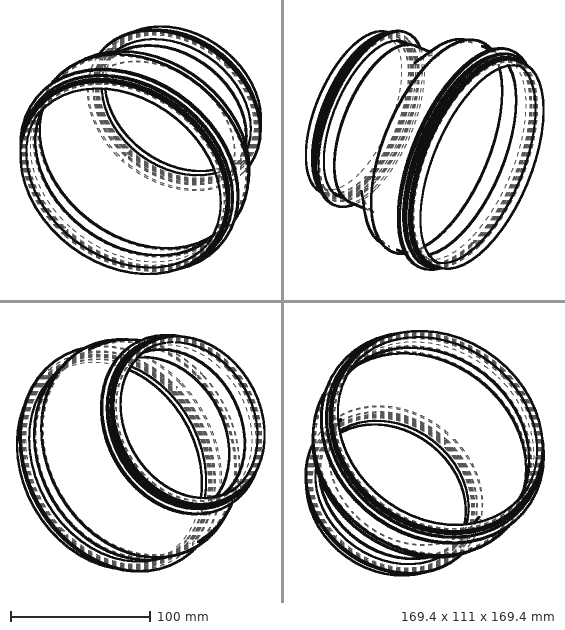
import cadquery as cq
import math


length = 111.0
wall = 0.5

large_body_radius = 159.0 / 2
large_groove_radius = 154.2 / 2
small_body_radius = 122.3 / 2
small_groove_radius = 119.3 / 2

large_shoulder_start = 21.7
large_shoulder_end = 24.7
small_shoulder_start = 22.7
small_shoulder_end = 24.9

bead_center = 39.0
bead_half_width = 3.5
bead_radius = 164.3 / 2

cone_large_y = 48.1
cone_small_y = 63.7
large_bend_radius = 1.5
small_bend_radius = 3.4
cone_angle = math.atan2(large_body_radius - small_body_radius, cone_small_y - cone_large_y)

rim_length = 6.0
rim_round = 1.2
large_rim_radius = large_body_radius
small_rim_radius = 125.0 / 2

lip_start = 7.0
lip_end = 7.8
fin_root_start = 8.6
fin_tip_start = 9.0
fin_end = 10.5
collar_start = 12.2
flange_start = 12.9
flange_end = 14.7
lip_height = 1.5
collar_height = 1.5

large_sleeve_radius = 158.0 / 2
large_seal_bore_radius = 155.3 / 2
large_fin_radius = 164.3 / 2
large_flange_radius = 169.4 / 2
small_sleeve_radius = 124.0 / 2
small_seal_bore_radius = 120.5 / 2
small_fin_radius = 129.5 / 2
small_flange_radius = 134.5 / 2


def revolve_about_y(outline):
    """Turn a closed outline (X = radius, Y = axial place) once around the Y axis."""
    return outline.close().revolve(360, (0, 0, 0), (0, 1, 0))


def add_bead(path, base_radius, depth):
    """Add a rounded bead of three tangent arcs from its lower foot to its upper foot, offset inward."""
    height = bead_radius - base_radius
    arc_radius = (height**2 + bead_half_width**2) / (4 * height)
    turn = math.asin(bead_half_width / (2 * arc_radius))
    foot_radius = arc_radius + depth
    crest_radius = arc_radius - depth

    def foot_point(angle, side):
        return (base_radius + arc_radius - foot_radius * math.cos(angle),
                bead_center + side * (bead_half_width - foot_radius * math.sin(angle)))

    return (path.lineTo(*foot_point(0, -1))
            .threePointArc(foot_point(turn / 2, -1), foot_point(turn, -1))
            .threePointArc((bead_radius - arc_radius + crest_radius, bead_center), foot_point(turn, 1))
            .threePointArc(foot_point(turn / 2, 1), foot_point(0, 1)))


def add_step(path, start, end, depth):
    """From the current point add an S-shaped step of two equal tangent arcs, offset inward.

    start and end are (radius, y) places on the outer surface.
    """
    (start_radius, start_y), (end_radius, end_y) = start, end
    rise = end_radius - start_radius
    run = end_y - start_y
    arc_radius = (rise**2 + run**2) / (4 * abs(rise))
    turn = math.asin(run / (2 * arc_radius))
    outward = math.copysign(1, rise)
    first_radius = arc_radius + outward * depth
    last_radius = arc_radius - outward * depth

    def first_arc_point(angle):
        return (start_radius + outward * (arc_radius - first_radius * math.cos(angle)),
                start_y + first_radius * math.sin(angle))

    def last_arc_point(angle):
        return (end_radius - outward * (arc_radius - last_radius * math.cos(angle)),
                end_y - last_radius * math.sin(angle))

    return (path.threePointArc(first_arc_point(turn / 2), first_arc_point(turn))
            .threePointArc(last_arc_point(turn / 2), last_arc_point(0)))


def add_bend(path, center, radius, start_angle, end_angle):
    """Add a line to an arc and then the arc; angles are from the radial direction toward +Y."""
    def arc_point(angle):
        return (center[0] + radius * math.cos(angle), center[1] + radius * math.sin(angle))

    return (path.lineTo(*arc_point(start_angle))
            .threePointArc(arc_point((start_angle + end_angle) / 2), arc_point(end_angle)))


def solid_to_skin(depth):
    """Solid bounded by the shell's outer surface offset inward by depth."""
    half_turn_tangent = math.tan(cone_angle / 2)
    large_bend_center = (large_body_radius - large_bend_radius,
                         cone_large_y - large_bend_radius * half_turn_tangent)
    small_bend_center = (small_body_radius + small_bend_radius,
                         cone_small_y + small_bend_radius * half_turn_tangent)

    path = cq.Workplane("XY").lineTo(large_groove_radius - depth, 0)
    path = path.lineTo(large_groove_radius - depth, large_shoulder_start)
    path = add_step(path, (large_groove_radius, large_shoulder_start),
                    (large_body_radius, large_shoulder_end), depth)
    path = add_bead(path, large_body_radius, depth)
    path = add_bend(path, large_bend_center, large_bend_radius - depth, 0, cone_angle)
    path = add_bend(path, small_bend_center, small_bend_radius + depth,
                    math.pi + cone_angle, math.pi)
    path = path.lineTo(small_body_radius - depth, length - small_shoulder_end)
    path = add_step(path, (small_body_radius, length - small_shoulder_end),
                    (small_groove_radius, length - small_shoulder_start), depth)
    path = path.lineTo(small_groove_radius - depth, length).lineTo(0, length)
    return revolve_about_y(path)


def make_rim(groove_radius, rim_radius, start_y):
    """Ring that thickens the sheet at an opening."""
    return (cq.Workplane("XZ", origin=(0, start_y + rim_length, 0))
            .circle(rim_radius).circle(groove_radius).extrude(rim_length))


def make_shell():
    sheet = solid_to_skin(0).cut(solid_to_skin(wall))
    large_rim = make_rim(large_groove_radius, large_rim_radius, 0)
    small_rim = make_rim(small_groove_radius, small_rim_radius, length - rim_length)
    shell_body = sheet.union(large_rim).union(small_rim).clean()
    return shell_body.faces("<Y or >Y").edges().fillet(rim_round)


def make_seal(bore_radius, sleeve_radius, fin_radius, flange_radius, opening_y, inward):
    """Ring with a small lip, a tapered fin and a flange; inward is +1 or -1 along Y."""
    lip_radius = sleeve_radius + lip_height
    collar_radius = sleeve_radius + collar_height
    outline = [
        (bore_radius, rim_length),
        (sleeve_radius, rim_length),
        (sleeve_radius, lip_start),
        (lip_radius, lip_start),
        (lip_radius, lip_end),
        (sleeve_radius, lip_end),
        (sleeve_radius, fin_root_start),
        (fin_radius, fin_tip_start),
        (fin_radius, fin_end),
        (sleeve_radius, fin_end),
        (sleeve_radius, collar_start),
        (collar_radius, collar_start),
        (collar_radius, flange_start),
        (flange_radius, flange_start),
        (flange_radius, flange_end),
        (bore_radius, flange_end),
    ]
    placed = [(radius, opening_y + inward * distance) for radius, distance in outline]
    return revolve_about_y(cq.Workplane("XY").polyline(placed))


shell = make_shell()

seal_sizes = [
    (large_seal_bore_radius, large_sleeve_radius, large_fin_radius, large_flange_radius,
     0, 1),
    (small_seal_bore_radius, small_sleeve_radius, small_fin_radius, small_flange_radius,
     length, -1),
]
seals = [make_seal(*sizes) for sizes in seal_sizes]

result = cq.Compound.makeCompound([shell.val(), *[seal.val() for seal in seals]])